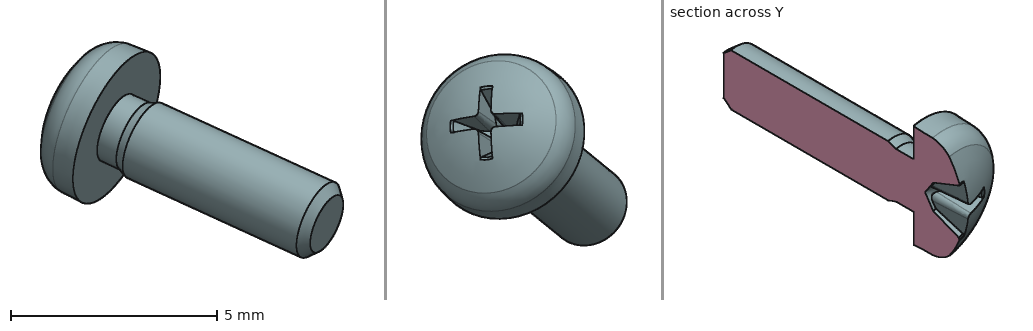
import cadquery as cq
import math

apex_x = -0.013
overall_length = 7.59
head_height = 1.59
head_radius = 2.0
dome_rim_x = 0.455
dome_height = dome_rim_x - apex_x
dome_rim_radius = 1.67
shoulder_x = 0.99
shoulder_radius = 1.97
shoulder_bulge = 0.06

neck_radius = 1.78 / 2
neck_end_x = 2.13
shank_radius = 2.0 / 2
shank_start_x = 2.38
tip_chamfer = 0.24

recess_front_x = -0.075
recess_mouth_radius = 0.93
recess_rim_radius = 0.865
recess_floor_radius = 0.47
recess_mouth_x = 0.14
recess_rim_x = 0.15
flank_angle = 26.0
flank_depth = (recess_rim_radius - recess_floor_radius) / math.tan(math.radians(flank_angle))
floor_depth = recess_rim_x + flank_depth
recess_depth = 1.215
wing_reach = 1.14
mouth_half_width = 0.17
mouth_core_reach = 0.27
bottom_half_width = 0.075
bottom_core_reach = 0.25


def arc_midpoint(start, end, bulge):
    """Middle of an arc that bulges to the left of the line from start to end."""
    dx = end[0] - start[0]
    dy = end[1] - start[1]
    chord = math.hypot(dx, dy)
    middle_x = (start[0] + end[0]) / 2 - bulge * dy / chord
    middle_y = (start[1] + end[1]) / 2 + bulge * dx / chord
    return middle_x, middle_y


def revolve_about_x(profile):
    return profile.close().revolve(360, (0, 0, 0), (1, 0, 0))


def make_body():
    """Domed head, undercut neck and shank turned in one piece."""
    dome_sphere_radius = (dome_rim_radius**2 + dome_height**2) / (2 * dome_height)
    half_angle = math.asin(dome_rim_radius / dome_sphere_radius) / 2
    dome_middle = (
        apex_x + dome_sphere_radius * (1 - math.cos(half_angle)),
        dome_sphere_radius * math.sin(half_angle),
    )
    dome_rim = (dome_rim_x, dome_rim_radius)
    shoulder = (shoulder_x, shoulder_radius)
    profile = (
        cq.Workplane("XY")
        .moveTo(apex_x, 0)
        .threePointArc(dome_middle, dome_rim)
        .threePointArc(arc_midpoint(dome_rim, shoulder, shoulder_bulge), shoulder)
        .lineTo(head_height, head_radius)
        .lineTo(head_height, neck_radius)
        .lineTo(neck_end_x, neck_radius)
        .lineTo(shank_start_x, shank_radius)
        .lineTo(overall_length - tip_chamfer, shank_radius)
        .lineTo(overall_length, shank_radius - tip_chamfer)
        .lineTo(overall_length, 0)
    )
    return revolve_about_x(profile)


def rotate_quarters(y, z, quarters):
    for _ in range(quarters):
        y, z = -z, y
    return y, z


def draw_cross(plane, half_width, core_reach):
    """Draw a four-winged cross whose inner corners are rounded by tangent arcs."""
    corner_radius = core_reach - half_width
    corner_middle = core_reach - corner_radius * math.sqrt(0.5)
    outline = plane.moveTo(wing_reach, -half_width)
    for quarter in range(4):
        outline = (
            outline.lineTo(*rotate_quarters(wing_reach, half_width, quarter))
            .lineTo(*rotate_quarters(core_reach, half_width, quarter))
            .threePointArc(
                rotate_quarters(corner_middle, corner_middle, quarter),
                rotate_quarters(half_width, core_reach, quarter),
            )
        )
        if quarter < 3:
            outline = outline.lineTo(*rotate_quarters(half_width, wing_reach, quarter))
    return outline.close()


def make_recess():
    """Tapered cross, limited by the conical wing ends and the conical floor."""
    front_plane = cq.Workplane("YZ", origin=(recess_front_x, 0, 0))
    mouth = draw_cross(front_plane, mouth_half_width, mouth_core_reach)
    bottom_plane = mouth.workplane(offset=recess_depth - recess_front_x)
    cross = draw_cross(bottom_plane, bottom_half_width, bottom_core_reach).loft(ruled=True)
    envelope = revolve_about_x(
        cq.Workplane("XY")
        .moveTo(recess_front_x, 0)
        .lineTo(recess_front_x, recess_mouth_radius)
        .lineTo(recess_mouth_x, recess_mouth_radius)
        .lineTo(recess_rim_x, recess_rim_radius)
        .lineTo(floor_depth, recess_floor_radius)
        .lineTo(recess_depth, 0)
    )
    return cross.intersect(envelope)


result = make_body().cut(make_recess())